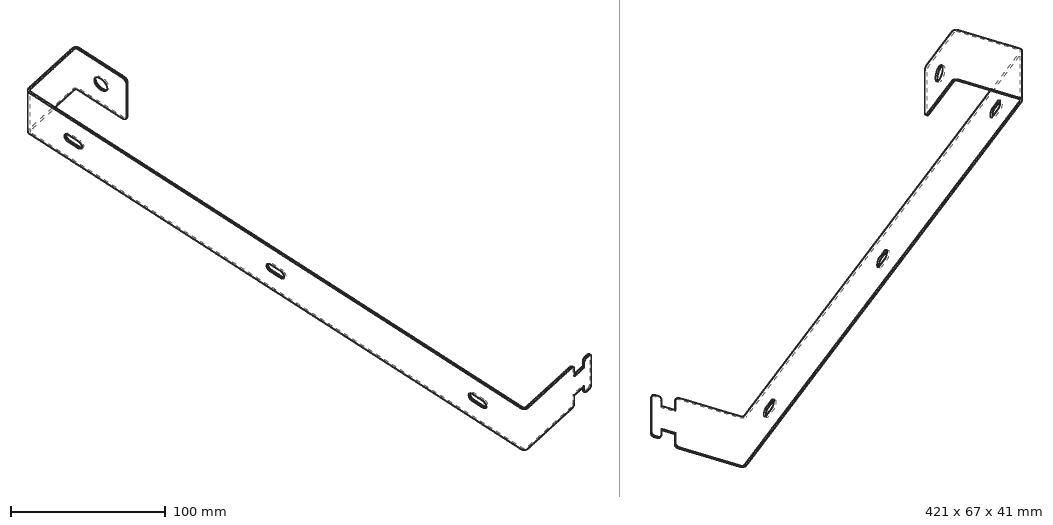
import cadquery as cq

thickness = 1.5
strip_height = 41.0
overall_length = 421.0
leg_depth = 50.0
flange_length = 44.0
bend_outer_radius = 3.0
bend_inner_radius = bend_outer_radius - thickness
corner_radius = 3.0

hook_reach = 67.0
neck_height = 19.0
head_height = 34.0
head_depth = 7.0
head_radius = 2.5

slot_length = 15.0
slot_height = 7.0
slot_spacing = 170.5

flange_hole_diameter = 11.0
flange_hole_from_left = 22.5

left = -overall_length / 2
right = overall_length / 2
leg_inner_x = right - thickness
inner_left = left + thickness
inner_back = leg_depth - thickness
leg_split = leg_depth / 2
flange_end = left + flange_length


def fillet_upright_edges(body, points, radius):
    """Fillet the Z-parallel edges passing through the given (x, y) points."""
    reach = thickness / 4
    for x, y in points:
        corner = cq.selectors.BoxSelector((x - reach, y - reach, -reach), (x + reach, y + reach, reach))
        body = body.edges("|Z").edges(corner).fillet(radius)
    return body


def make_web_and_flange():
    """Web, left leg, return flange and the right leg's bend, up to the leg split."""
    profile = [
        (flange_end, leg_depth),
        (left, leg_depth),
        (left, 0),
        (right, 0),
        (right, leg_split),
        (leg_inner_x, leg_split),
        (leg_inner_x, thickness),
        (inner_left, thickness),
        (inner_left, inner_back),
        (flange_end, inner_back),
    ]
    outer_bends = [(left, leg_depth), (left, 0), (right, 0)]
    inner_bends = [(inner_left, inner_back), (inner_left, thickness), (leg_inner_x, thickness)]
    strip = cq.Workplane("XY").polyline(profile).close().extrude(strip_height / 2, both=True)
    strip = fillet_upright_edges(strip, outer_bends, bend_outer_radius)
    strip = fillet_upright_edges(strip, inner_bends, bend_inner_radius)
    flange_tip = cq.selectors.BoxSelector(
        (flange_end - thickness, inner_back, -strip_height),
        (flange_end + thickness, leg_depth, strip_height),
    )
    return strip.edges("|Y").edges(flange_tip).fillet(corner_radius)


def make_leg_plate(y_start, y_end, height):
    """Flat plate standing on the right leg's inner face and centred on Z = 0."""
    plate = cq.Workplane("YZ", origin=(leg_inner_x, (y_start + y_end) / 2, 0))
    return plate.rect(y_end - y_start, height).extrude(thickness)


def make_right_leg():
    """Right leg beyond the leg split, with the neck and head of the hook."""
    leg = make_leg_plate(leg_split, leg_depth, strip_height)
    leg = leg.edges("|X and >Y").fillet(corner_radius)
    neck = make_leg_plate(leg_split, hook_reach - head_depth, neck_height)
    head = make_leg_plate(hook_reach - head_depth, hook_reach, head_height)
    head = head.edges("|X").fillet(head_radius)
    return leg.union(neck).union(head)


def make_web_slots():
    """Three obround cutters through the web."""
    centers = [(step * slot_spacing, 0) for step in (-1, 0, 1)]
    return cq.Workplane("XZ").pushPoints(centers).slot2D(slot_length, slot_height).extrude(-thickness)


def make_flange_hole():
    """Round cutter through the return flange."""
    face = cq.Workplane("XZ", origin=(left + flange_hole_from_left, leg_depth, 0))
    return face.circle(flange_hole_diameter / 2).extrude(thickness)


bracket = make_web_and_flange().union(make_right_leg())
result = bracket.cut(make_web_slots()).cut(make_flange_hole())